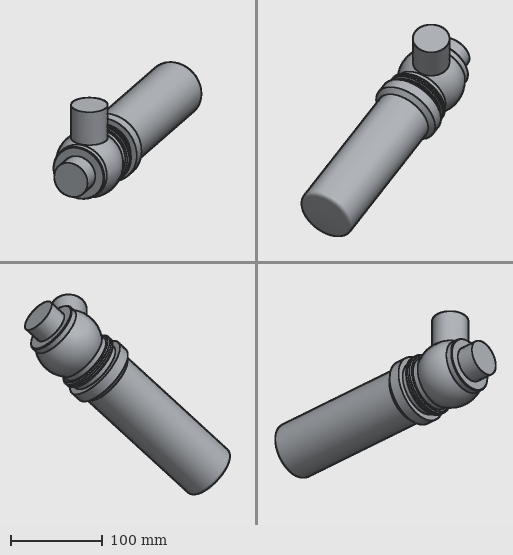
import cadquery as cq
import math

overall_length = 276.5

pipe_radius = 40.0 / 2
neck_radius = 61.0 / 2
inlet_length = 20.2
collar_edge_chamfer = 0.8
ball_center_y = 48.5
ball_half_length = 20.7
ball_radius = math.hypot(neck_radius, ball_half_length)
ball_front_y = ball_center_y - ball_half_length
ball_back_y = ball_center_y + ball_half_length

joint_y = 79.5
flange_radius = 69.0 / 2
flange_thickness = 4.1
flange_chamfer = 1.7

canister_radius = 64.0 / 2
shoulder_radius = 75.0 / 2
shoulder_front_y = 90.5
shoulder_width = 12.7
shoulder_chamfer = shoulder_radius - canister_radius
shoulder_edge_y = shoulder_front_y + shoulder_width
shoulder_back_y = shoulder_edge_y + shoulder_chamfer
dome_height = 2.2
dome_edge_radius = 4.1
dome_base_y = overall_length - dome_height
dome_sphere_radius = (canister_radius**2 + dome_height**2) / (2 * dome_height)

overall_height = 107.5
outlet_top_z = overall_height - shoulder_radius


def revolve_about_y(profile):
    return profile.close().revolve(360, (0, 0, 0), (0, 1, 0))


def make_valve_body():
    flange_front_y = joint_y - flange_thickness
    profile = (
        cq.Workplane("XY")
        .lineTo(pipe_radius, 0)
        .lineTo(pipe_radius, inlet_length)
        .lineTo(neck_radius - collar_edge_chamfer, inlet_length)
        .lineTo(neck_radius, inlet_length + collar_edge_chamfer)
        .lineTo(neck_radius, ball_front_y)
        .threePointArc((ball_radius, ball_center_y), (neck_radius, ball_back_y))
        .lineTo(neck_radius, flange_front_y)
        .lineTo(flange_radius - flange_chamfer, flange_front_y)
        .lineTo(flange_radius, flange_front_y + flange_chamfer)
        .lineTo(flange_radius, joint_y)
        .lineTo(0, joint_y)
    )
    outlet = (
        cq.Workplane("XY", origin=(0, ball_center_y, 0))
        .circle(pipe_radius)
        .extrude(outlet_top_z)
    )
    return revolve_about_y(profile).union(outlet)


def make_canister():
    flange_back_y = joint_y + flange_thickness
    dome_mid_radius = canister_radius / 2
    dome_drop = dome_sphere_radius - math.sqrt(dome_sphere_radius**2 - dome_mid_radius**2)
    profile = (
        cq.Workplane("XY")
        .moveTo(0, joint_y)
        .lineTo(flange_radius, joint_y)
        .lineTo(flange_radius, flange_back_y - flange_chamfer)
        .lineTo(flange_radius - flange_chamfer, flange_back_y)
        .lineTo(neck_radius, flange_back_y)
        .lineTo(neck_radius, shoulder_front_y)
        .lineTo(shoulder_radius, shoulder_front_y)
        .lineTo(shoulder_radius, shoulder_edge_y)
        .lineTo(canister_radius, shoulder_back_y)
        .lineTo(canister_radius, dome_base_y)
        .threePointArc((dome_mid_radius, overall_length - dome_drop), (0, overall_length))
    )
    dome_rim = cq.selectors.BoxSelector(
        (-shoulder_radius, dome_base_y - dome_height / 2, -shoulder_radius),
        (shoulder_radius, dome_base_y + dome_height / 2, shoulder_radius),
        boundingbox=True,
    )
    return revolve_about_y(profile).edges(dome_rim).fillet(dome_edge_radius)


valve_body = make_valve_body()
canister = make_canister()
result = cq.Compound.makeCompound([valve_body.val(), canister.val()])